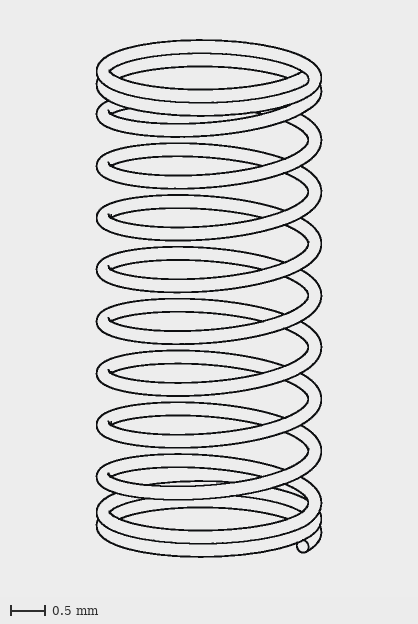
import cadquery as cq

spring_length = 7.3
outer_diameter = 3.3
wire_diameter = 0.2
closed_gap = 0.004
closed_turns = 2
active_turns = 8

coil_radius = (outer_diameter - wire_diameter) / 2
closed_pitch = wire_diameter + closed_gap
closed_height = closed_turns * closed_pitch
active_height = spring_length - wire_diameter - 2 * closed_height
active_pitch = active_height / active_turns


def coil(pitch, height, base_z):
    """Wire coiled upward from the +X side, with both ends cut in the XZ plane."""
    path = cq.Wire.makeHelix(pitch, height, coil_radius, center=cq.Vector(0, 0, base_z))
    section = cq.Workplane("XZ").center(coil_radius, base_z).circle(wire_diameter / 2)
    return section.sweep(cq.Workplane(obj=path), isFrenet=True)


bottom_z = (wire_diameter - spring_length) / 2
active_z = bottom_z + closed_height
top_z = active_z + active_height

bottom_coils = coil(closed_pitch, closed_height, bottom_z)
active_coils = coil(active_pitch, active_height, active_z)
top_coils = coil(closed_pitch, closed_height, top_z)

result = bottom_coils.union(active_coils).union(top_coils)